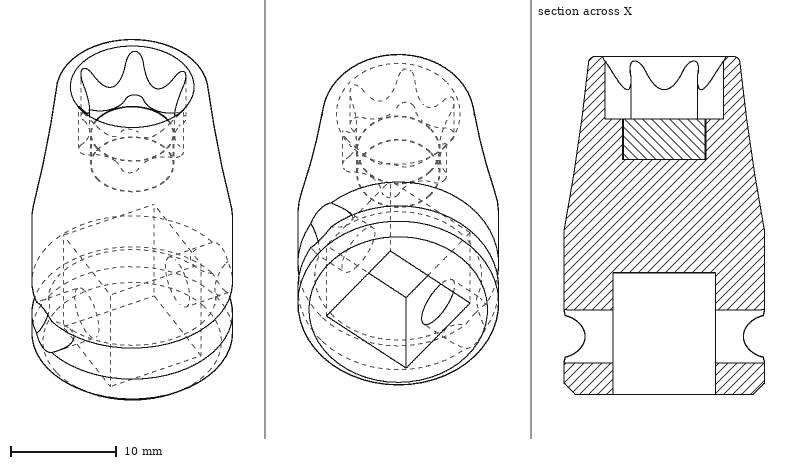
import cadquery as cq
import math

height = 32.0
body_radius = 9.5
nose_radius = 7.2
nose_hollow = 0.15
taper_start = 15.6
rim_round = 0.65
base_chamfer = 1.05

groove_level = 5.5
groove_half_width = 1.95
groove_floor_radius = 7.9
cross_hole_diameter = 5.0

drive_width = 9.65
drive_depth = 11.52

lobe_count = 6
lobe_tip_reach = 5.6
valley_reach = 4.03
lobe_tip_radius = 0.85
recess_depth = 5.92
lead_in_radius = 5.85
lead_in_half_angle = 30.0

disc_radius = 3.87
disc_clearance = 0.05
disc_thickness = 3.85

recess_floor = height - recess_depth
disc_bottom = recess_floor - disc_thickness


def polar(radius, degrees):
    angle = math.radians(degrees)
    return (radius * math.cos(angle), radius * math.sin(angle))


def outer_shell():
    rim_level = height - rim_round
    hollow_point = ((body_radius + nose_radius) / 2 - nose_hollow, (taper_start + rim_level) / 2)
    round_centre = (nose_radius - rim_round, rim_level)
    round_offset = polar(rim_round, 45)
    round_middle = (round_centre[0] + round_offset[0], round_centre[1] + round_offset[1])
    return (
        cq.Workplane("XZ")
        .lineTo(body_radius - base_chamfer, 0)
        .lineTo(body_radius, base_chamfer)
        .lineTo(body_radius, groove_level - groove_half_width)
        .threePointArc((groove_floor_radius, groove_level), (body_radius, groove_level + groove_half_width))
        .lineTo(body_radius, taper_start)
        .threePointArc(hollow_point, (nose_radius, rim_level))
        .threePointArc(round_middle, (nose_radius - rim_round, height))
        .lineTo(0, height)
        .close()
        .revolve(360, (0, 0, 0), (0, 1, 0))
    )


def lobed_recess():
    """Prism whose tip arcs and valley arcs meet tangentially."""
    half_pitch = 180 / lobe_count
    tip_centre = lobe_tip_reach - lobe_tip_radius
    radius_gap = valley_reach - lobe_tip_radius
    valley_centre = (tip_centre**2 - radius_gap**2) / (
        2 * (tip_centre * math.cos(math.radians(half_pitch)) - radius_gap)
    )
    valley_radius = valley_centre - valley_reach

    share = lobe_tip_radius / (lobe_tip_radius + valley_radius)
    centre_x, centre_y = polar(valley_centre, half_pitch)
    tangent_x = tip_centre + share * (centre_x - tip_centre)
    tangent_y = share * centre_y
    tangent_reach = math.hypot(tangent_x, tangent_y)
    tangent_angle = math.degrees(math.atan2(tangent_y, tangent_x))

    first_tip = 90
    pitch = 2 * half_pitch
    outline = cq.Workplane("XY", origin=(0, 0, recess_floor)).moveTo(
        *polar(tangent_reach, first_tip - tangent_angle)
    )
    for index in range(lobe_count):
        tip = first_tip + index * pitch
        outline = outline.threePointArc(
            polar(lobe_tip_reach, tip), polar(tangent_reach, tip + tangent_angle)
        ).threePointArc(
            polar(valley_reach, tip + half_pitch), polar(tangent_reach, tip + pitch - tangent_angle)
        )
    return outline.close().extrude(recess_depth)


def lead_in_cone():
    floor_radius = lead_in_radius - recess_depth * math.tan(math.radians(lead_in_half_angle))
    return cq.Workplane(
        cq.Solid.makeCone(floor_radius, lead_in_radius, recess_depth, cq.Vector(0, 0, recess_floor))
    )


def disc_blank(radius):
    return cq.Workplane("XY", origin=(0, 0, disc_bottom)).circle(radius).extrude(disc_thickness)


def square_drive():
    return cq.Workplane("XY").rect(drive_width, drive_width).extrude(drive_depth)


def cross_hole():
    return (
        cq.Workplane("XZ")
        .center(0, groove_level)
        .circle(cross_hole_diameter / 2)
        .extrude(body_radius * 2, both=True)
    )


def make_socket():
    return (
        outer_shell()
        .cut(lobed_recess())
        .cut(lead_in_cone())
        .cut(disc_blank(disc_radius + disc_clearance))
        .cut(square_drive())
        .cut(cross_hole())
    )


socket = make_socket()
disc = disc_blank(disc_radius)

result = cq.Compound.makeCompound([socket.val(), disc.val()])